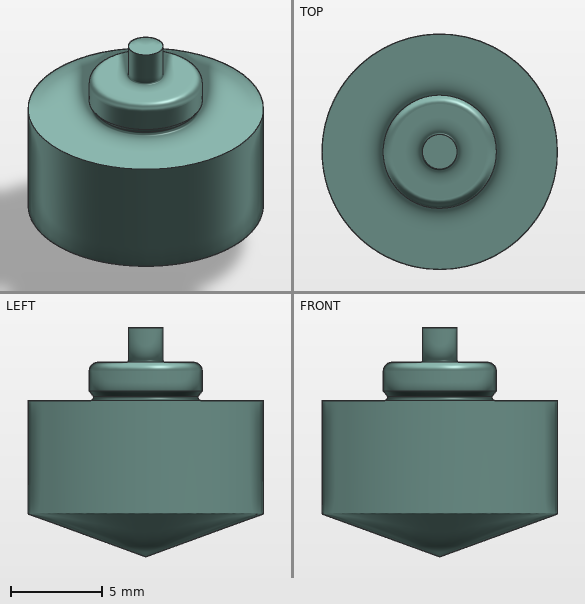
import cadquery as cq
import math


base_radius = 6.45
overall_height = 12.56
cone_slope = 20.0
rim_fillet = 0.1
neck_radius = 2.86
neck_height = 0.23
neck_fillet = 0.19

head_radius = 6.2 / 2
head_top = 2.1
head_top_fillet = 0.5
head_taper_top = 0.53
pin_radius = 1.9 / 2
pin_top = 4.0
pin_fillet = 0.1

apex_z = pin_top - overall_height
cone_top_z = apex_z + base_radius * math.tan(math.radians(cone_slope))


def revolve_profile(points):
    """Turn a closed half outline of (radius, height) points about the Z axis."""
    return cq.Workplane("XZ").polyline(points).close().revolve(360, (0, 0), (0, 1))


def circle_edge(radius, height):
    """Select the circular edge of the given radius lying at the given height."""
    tolerance = 0.001
    reach = radius + tolerance
    inner = radius - tolerance
    low = height - tolerance
    high = height + tolerance
    outer_box = cq.selectors.BoxSelector((-reach, -reach, low), (reach, reach, high), boundingbox=True)
    inner_box = cq.selectors.BoxSelector((-inner, -inner, low), (inner, inner, high), boundingbox=True)
    return outer_box - inner_box


def make_base():
    """Disc with a conical underside, rounded rim and filleted neck."""
    body = revolve_profile([
        (0, apex_z),
        (base_radius, cone_top_z),
        (base_radius, 0),
        (neck_radius, 0),
        (neck_radius, neck_height),
        (0, neck_height),
    ])
    body = body.edges(circle_edge(base_radius, cone_top_z)).fillet(rim_fillet)
    return body.edges(circle_edge(neck_radius, 0)).fillet(neck_fillet)


def make_head():
    """Cap with a tapered underside, rounded top edge and filleted pin."""
    body = revolve_profile([
        (0, neck_height),
        (neck_radius, neck_height),
        (head_radius, head_taper_top),
        (head_radius, head_top),
        (pin_radius, head_top),
        (pin_radius, pin_top),
        (0, pin_top),
    ])
    body = body.edges(circle_edge(head_radius, head_top)).fillet(head_top_fillet)
    return body.edges(circle_edge(pin_radius, head_top)).fillet(pin_fillet)


base = make_base()
head = make_head()

result = cq.Compound.makeCompound([base.solids().val(), head.solids().val()])